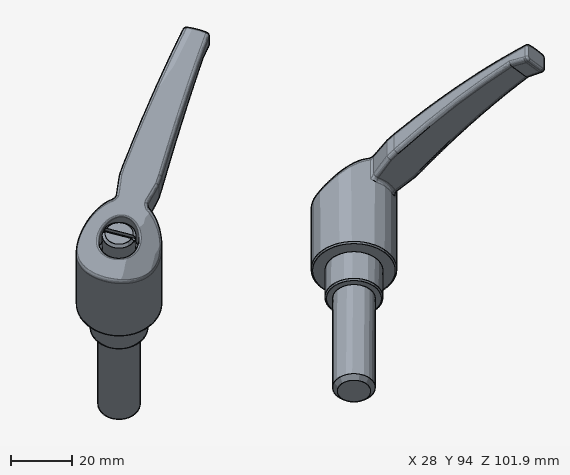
import cadquery as cq
import math


shank_diameter = 14.0
shank_chamfer = 1.5
collar_diameter = 19.0
collar_bottom = 40.0
small_chamfer = 0.5

hub_diameter = 28.0
hub_radius = hub_diameter / 2
hub_bottom = 52.0

crown_height = 101.9
crown_length_radius = 203.9
crown_cross_radius = 19.4
crown_apex_y = 77.5
crown_edge_fillet = 1.4

overall_length = 94.0
arm_tip_y = overall_length - hub_radius
arm_tip_half_width = 4.5
arm_wide_half_width = 6.8
arm_wide_outer_y = 23.7
arm_wide_inner_y = 20.6
arm_neck_half_width = 5.4
arm_neck_y = 12.7
arm_bottom_start = (arm_neck_y, 80.4)
arm_bottom_middle = (37.4, 89.3)
arm_bottom_end = (72.4, 96.2)
arm_lip_bottom = 94.6
arm_lip_length = 1.5
arm_bottom_fillet = 1.4
tip_fillet = 0.8
neck_fillet = 0.8

recess_diameter = 13.0
recess_floor = 79.5
recess_rim_fillet = 0.6
head_diameter = 11.0
head_top = 88.0
head_chamfer = 0.9
slot_width = 1.5
slot_depth = 1.4


def cylinder(diameter, bottom, top):
    return cq.Workplane("XY").workplane(offset=bottom).circle(diameter / 2).extrude(top - bottom)


def make_arm():
    """Waisted plan outline cut to the curved underside of the arm."""
    plan = (
        cq.Workplane("XY")
        .moveTo(-arm_neck_half_width, 0)
        .lineTo(-arm_neck_half_width, arm_neck_y)
        .lineTo(-arm_wide_half_width, arm_wide_inner_y)
        .lineTo(-arm_wide_half_width, arm_wide_outer_y)
        .lineTo(-arm_tip_half_width, arm_tip_y)
        .lineTo(arm_tip_half_width, arm_tip_y)
        .lineTo(arm_wide_half_width, arm_wide_outer_y)
        .lineTo(arm_wide_half_width, arm_wide_inner_y)
        .lineTo(arm_neck_half_width, arm_neck_y)
        .lineTo(arm_neck_half_width, 0)
        .close()
        .extrude(crown_height)
    )
    side = (
        cq.Workplane("YZ")
        .moveTo(0, arm_bottom_start[1])
        .lineTo(*arm_bottom_start)
        .threePointArc(arm_bottom_middle, arm_bottom_end)
        .lineTo(arm_tip_y - arm_lip_length, arm_lip_bottom)
        .lineTo(arm_tip_y, arm_lip_bottom)
        .lineTo(arm_tip_y, crown_height)
        .lineTo(0, crown_height)
        .close()
        .extrude(hub_radius, both=True)
    )
    return plan.intersect(side)


def make_crown_envelope():
    """Arched section revolved about an X-parallel axis far below the arm."""
    half_width = hub_radius + 1
    edge_drop = crown_cross_radius - math.sqrt(crown_cross_radius**2 - half_width**2)
    axis_height = crown_height - crown_length_radius
    section_bottom = crown_length_radius / 2
    edge_height = crown_length_radius - edge_drop
    return (
        cq.Workplane("XZ", origin=(0, crown_apex_y, axis_height))
        .moveTo(-half_width, section_bottom)
        .lineTo(-half_width, edge_height)
        .threePointArc((0, crown_length_radius), (half_width, edge_height))
        .lineTo(half_width, section_bottom)
        .close()
        .revolve(360, (0, 0), (1, 0))
    )


def fillet_in_order(body, edges, radius):
    """Fillet edges in a fixed order along the arm so the blend is repeatable."""
    def place(edge):
        center = edge.Center()
        return (round(center.y, 2), round(center.z, 2), center.x)

    return cq.Workplane(body.findSolid().fillet(radius, sorted(edges.vals(), key=place)))


def make_handle():
    hub = cylinder(hub_diameter, hub_bottom, crown_height).faces("<Z").chamfer(small_chamfer)
    handle = hub.union(make_arm()).intersect(make_crown_envelope())

    for side in (-1, 1):
        corner = (side * arm_neck_half_width, arm_neck_y, crown_height - hub_radius)
        nearest_corner = cq.selectors.NearestToPointSelector(corner)
        handle = handle.edges(nearest_corner).fillet(neck_fillet)

    handle = fillet_in_order(handle, handle.faces("%TORUS").edges("not >Y"), crown_edge_fillet)

    underside = cq.selectors.BoxSelector(
        (-arm_tip_half_width, arm_wide_outer_y, arm_bottom_start[1]),
        (arm_tip_half_width, arm_tip_y - small_chamfer, arm_bottom_end[1]),
    )
    handle = fillet_in_order(handle, handle.faces(underside).edges("not |X"), arm_bottom_fillet)

    handle = fillet_in_order(handle, handle.faces(">Y").edges(), tip_fillet)

    recess = cylinder(recess_diameter, recess_floor, crown_height)
    handle = handle.cut(recess)
    mouth = cq.selectors.NearestToPointSelector((0, 0, head_top))
    return handle.faces("%TORUS").edges(mouth).fillet(recess_rim_fillet)


def make_screw_head():
    head = cylinder(head_diameter, recess_floor, head_top).faces(">Z").chamfer(head_chamfer)
    slot = cq.Workplane("XY").box(head_diameter, slot_width, 2 * slot_depth).translate((0, 0, head_top))
    return head.cut(slot)


shank = cylinder(shank_diameter, 0, collar_bottom).faces("<Z").chamfer(shank_chamfer)
collar = cylinder(collar_diameter, collar_bottom, hub_bottom).faces("<Z").chamfer(small_chamfer)
result = make_handle().union(collar).union(shank).union(make_screw_head())